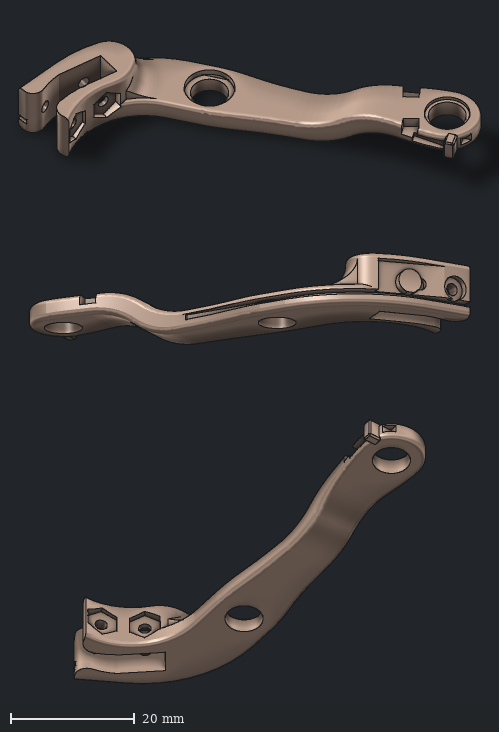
import cadquery as cq
import math


arm_thickness = 3.7
end_thickness = 3.55
end_top = 8.9
end_bottom = end_top - end_thickness
bend_run = 15.5
bend_start_top = 15.2
bend_start_bottom = 17.0
end_hole_x = 39.9
end_radius = 5.55
outer_waist = [(8.1, 4.6), (20.7, 3.9), (31.0, 4.5)]
inner_waist = [(31.8, -4.6), (19.95, -4.15), (8.1, -4.9)]
edge_round = 0.95

fork_height = 9.0
prong_overrun = 2.95
outer_arc_radius = 22.5
outer_arc_start_x = -4.65
outer_arc_angle = math.radians(60)
outer_tip_x = end_hole_x + end_radius - 73.9
inner_arc_radius = 12.55
inner_arc_start_x = -5.9
head_radius = 4.35
head_share = 0.65
neck_angle = 130
flare_radius = 4.3

hole_diameter = 6.1
pivot_recess_diameter = 8.2
pivot_recess_depth = 1.1
end_recess_diameter = 7.3
end_recess_depth = 0.6
screw_diameter = 2.0
screw_head_diameter = 4.0
screw_height = 4.6
nut_corner_diameter = 5.8
seat_clearance = 2.95
tip_screw_angle = math.radians(-26)
root_screw_angle = math.radians(-38)
tip_nut_floor = (-18.9, -14.7)
tip_screw_length = 10.35
tip_head_floor = (-26.15, -11.15)
root_nut_floor = (-15.45, -8.5)
root_screw_length = 7.4

pocket_bottom = 2.65
pocket_top = 7.9
boss_center = (-22.3, -4.0)
pocket_start = (-26.15, -9.1)
side_hole_center = (-23.2, -6.0)
side_hole_depth = 0.9

groove_bottom = 1.8
groove_width = 0.9
groove_depth = 1.9
groove_end_x = 14.8

notch_depth = 1.85
outer_notch = [(31.25, 5.9), (31.25, 4.4), (32.0, 1.6), (34.5, 2.3), (33.85, 5.9)]
inner_notch = [(33.7, -5.9), (33.4, -3.1), (35.8, -2.45), (36.35, -4.2), (36.35, -5.9)]
channel_bottom = 6.3
channel_height = 1.8
lug_x = 42.0
lug_width = 1.8

outer_arc_center = (outer_arc_start_x, end_radius - outer_arc_radius)
inner_arc_center = (inner_arc_start_x, -end_radius - inner_arc_radius)
inner_tip = (inner_arc_center[0] - inner_arc_radius, inner_arc_center[1])


def polar(center, radius, angle):
    return (center[0] + radius * math.cos(angle), center[1] + radius * math.sin(angle))


def outer_arc_point(share, inset=0.0):
    """Point on the fork's outer arc; share runs from 0 at the arm to 1 at the straight prong."""
    return polar(outer_arc_center, outer_arc_radius - inset, math.pi / 2 + share * outer_arc_angle)


def inner_arc_point(degrees):
    return polar(inner_arc_center, inner_arc_radius, math.radians(degrees))


def outer_tip_point(inset=0.0, overrun=0.0):
    """End of the straight outer prong, with an optional parallel inset and extra length."""
    end_x, end_y = outer_arc_point(1, inset)
    length = (outer_arc_point(1)[0] - outer_tip_x) / math.cos(outer_arc_angle) + overrun
    return (end_x - length * math.cos(outer_arc_angle), end_y - length * math.sin(outer_arc_angle))


head_center = outer_arc_point(head_share, head_radius)


def prong_ends(outline):
    """Close an outline that has reached the inner tip, running both prongs past their tips."""
    end_y = inner_tip[1] - prong_overrun
    return (
        outline.lineTo(inner_tip[0], end_y)
        .lineTo(outer_tip_point(overrun=prong_overrun)[0], end_y)
        .close()
    )


def arm_outline():
    outline = (
        cq.Workplane("XY")
        .moveTo(*outer_tip_point(overrun=prong_overrun))
        .lineTo(*outer_arc_point(1))
        .threePointArc(outer_arc_point(0.5), outer_arc_point(0))
        .lineTo(0, end_radius)
        .spline(
            [*outer_waist, (end_hole_x, end_radius)],
            tangents=[(1, 0), (1, 0)],
            includeCurrent=True,
        )
        .threePointArc((end_hole_x + end_radius, 0), (end_hole_x, -end_radius))
        .spline(
            [*inner_waist, (0, -end_radius)],
            tangents=[(-1, 0), (-1, 0)],
            includeCurrent=True,
        )
        .lineTo(inner_arc_start_x, -end_radius)
        .threePointArc(inner_arc_point(135), inner_tip)
    )
    return prong_ends(outline)


def fork_outline():
    head_end_x = head_center[0] + head_radius
    neck_cosine = math.cos(math.radians(neck_angle))
    shoulder_radius = (head_end_x - inner_arc_point(neck_angle)[0]) / (1 + neck_cosine)
    shoulder_center = polar(
        inner_arc_center, inner_arc_radius + shoulder_radius, math.radians(neck_angle)
    )
    outline = (
        cq.Workplane("XY")
        .moveTo(*outer_tip_point(overrun=prong_overrun))
        .lineTo(*outer_arc_point(1))
        .threePointArc(outer_arc_point((1 + head_share) / 2), outer_arc_point(head_share))
        .threePointArc(
            polar(head_center, head_radius, math.radians(55)),
            (head_end_x, head_center[1]),
        )
        .lineTo(head_end_x, shoulder_center[1])
        .threePointArc(
            polar(shoulder_center, shoulder_radius, math.radians((neck_angle - 180) / 2)),
            inner_arc_point(neck_angle),
        )
        .threePointArc(inner_arc_point(155), inner_tip)
    )
    return prong_ends(outline)


def fork_mouth():
    """Slot between the prongs together with everything beyond their tips."""
    margin = 7.4
    return (
        cq.Workplane("XY", origin=(0, 0, -0.75))
        .moveTo(*inner_tip)
        .lineTo(-19.7, -17.65)
        .threePointArc((-21.1, -16.1), (-21.0, -14.5))
        .threePointArc((-19.5, -11.8), (-17.6, -9.45))
        .lineTo(-14.05, -5.5)
        .lineTo(-17.5, -2.8)
        .lineTo(-22.75, -8.7)
        .threePointArc((-23.65, -10.5), (-24.3, -12.7))
        .threePointArc((-25.4, -14.0), (-26.9, -14.05))
        .lineTo(*outer_tip_point())
        .lineTo(outer_tip_x - margin, outer_tip_point()[1])
        .lineTo(outer_tip_x - margin, inner_tip[1] - margin)
        .lineTo(inner_tip[0] + margin, inner_tip[1] - margin)
        .lineTo(inner_tip[0] + margin, inner_tip[1])
        .close()
        .extrude(fork_height + 1.5)
    )


def arm_profile():
    """Side shape of the arm: flat, S-bend of two equal arcs, flat."""
    low_x = outer_tip_x - 0.75
    high_x = end_hole_x + end_radius + 0.75
    top_end = bend_start_top + bend_run
    bottom_end = bend_start_bottom + bend_run
    return (
        cq.Workplane("XZ")
        .moveTo(low_x, arm_thickness)
        .lineTo(bend_start_top, arm_thickness)
        .tangentArcPoint((bend_start_top + bend_run / 2, (arm_thickness + end_top) / 2), relative=False)
        .tangentArcPoint((top_end, end_top), relative=False)
        .lineTo(high_x, end_top)
        .lineTo(high_x, end_bottom)
        .lineTo(bottom_end, end_bottom)
        .tangentArcPoint((bend_start_bottom + bend_run / 2, end_bottom / 2), relative=False)
        .tangentArcPoint((bend_start_bottom, 0), relative=False)
        .lineTo(low_x, 0)
        .close()
        .extrude(36.95, both=True)
    )


def arm():
    blank = arm_outline().extrude(2 * fork_height).intersect(arm_profile())
    return blank.edges("not(|X or |Y or |Z)").fillet(edge_round)


def fork():
    blank = fork_outline().extrude(fork_height)
    return blank.edges("not(|X or |Y or |Z)").fillet(edge_round)


def flare():
    """Concave sweep from the head of the fork down to the upper face of the arm."""
    overlap = 0.75
    base_z = arm_thickness - overlap
    top_z = arm_thickness + flare_radius
    foot = head_radius + flare_radius
    sweep_mid = polar((foot, top_z), flare_radius, math.radians(225))
    sweep = (
        cq.Workplane("XZ")
        .moveTo(0, base_z)
        .lineTo(foot, base_z)
        .lineTo(foot, arm_thickness)
        .threePointArc(sweep_mid, (head_radius, top_z))
        .lineTo(0, top_z)
        .close()
        .revolve(360, (0, 0, 0), (0, 1, 0))
        .translate((head_center[0], head_center[1], 0))
    )
    return arm_outline().offset2D(-edge_round).extrude(fork_height).intersect(sweep)


def stepped_hole(x, recess_diameter, recess_depth, face_z):
    through = cq.Workplane("XY", origin=(x, 0, -0.75)).circle(hole_diameter / 2).extrude(fork_height + 1.5)
    recess = (
        cq.Workplane("XY", origin=(x, 0, face_z - recess_depth))
        .circle(recess_diameter / 2)
        .extrude(recess_depth + 0.75)
    )
    return through.union(recess)


def axis_plane(point, angle):
    """Plane at screw height whose normal points from the outer prong to the inner one."""
    direction = cq.Vector(math.cos(angle), math.sin(angle), 0)
    return cq.Plane(origin=(point[0], point[1], screw_height), xDir=(0, 0, 1), normal=direction)


def nut_seat(point, angle, screw_length):
    """Hexagonal seat sunk into the inner prong, with its screw hole running back to the outer prong."""
    seat = cq.Workplane(axis_plane(point, angle)).polygon(6, nut_corner_diameter).extrude(seat_clearance)
    hole = cq.Workplane(axis_plane(point, angle)).circle(screw_diameter / 2).extrude(-screw_length)
    return seat.union(hole)


def screw_head_seat(point, angle):
    return (
        cq.Workplane(axis_plane(point, angle))
        .circle(screw_head_diameter / 2)
        .extrude(-seat_clearance)
    )


def cable_groove():
    floor_y = end_radius - groove_depth
    outside = -1.5
    return (
        cq.Workplane("XY", origin=(0, 0, groove_bottom))
        .moveTo(*outer_tip_point(groove_depth, prong_overrun))
        .lineTo(*outer_arc_point(1, groove_depth))
        .threePointArc(outer_arc_point(0.5, groove_depth), outer_arc_point(0, groove_depth))
        .lineTo(groove_end_x, floor_y)
        .lineTo(groove_end_x, end_radius - outside)
        .lineTo(*outer_arc_point(0, outside))
        .threePointArc(outer_arc_point(0.5, outside), outer_arc_point(1, outside))
        .lineTo(*outer_tip_point(outside, prong_overrun))
        .close()
        .extrude(groove_width)
    )


def prong_pocket():
    """Pocket in the outer side of the fork, leaving a round boss standing in it."""
    pocket = (
        cq.Workplane("XY", origin=(0, 0, pocket_bottom))
        .polyline([pocket_start, (-17.95, -0.45), (-19.15, 0.4), (-26.6, 4.4), (-31.0, -6.3)])
        .close()
        .extrude(pocket_top - pocket_bottom)
    )
    boss = (
        cq.Workplane(axis_plane(boss_center, root_screw_angle))
        .circle(screw_head_diameter / 2)
        .extrude(seat_clearance, both=True)
    )
    side_hole = (
        cq.Workplane(axis_plane(side_hole_center, root_screw_angle))
        .circle(screw_diameter / 2)
        .extrude(side_hole_depth, both=True)
    )
    return pocket.union(side_hole).cut(boss)


def notch(corners):
    return (
        cq.Workplane("XY", origin=(0, 0, end_top - notch_depth))
        .polyline(corners)
        .close()
        .extrude(notch_depth + 0.75)
    )


def side_channel():
    """Shallow channel along the inner side, from the inner notch to the lug."""
    return (
        cq.Workplane("XY", origin=(0, 0, channel_bottom))
        .polyline([(35.5, -6.65), (35.5, -3.9), (lug_x, -5.1), (lug_x, -6.65)])
        .close()
        .extrude(channel_height)
    )


def end_window():
    """Small rectangular pocket in the rim of the raised end, sunk along Y."""
    floor_y = -2.65
    return (
        cq.Workplane("XZ", origin=(0, floor_y, 0))
        .center(44.05, 7.3)
        .rect(1.4, 1.3)
        .extrude(end_radius)
    )


def lug():
    length = 2.2
    tip_y = -6.6
    return (
        cq.Workplane("XY")
        .box(lug_width, length, end_thickness, centered=(True, False, False))
        .edges("|Y")
        .chamfer(0.3)
        .faces("<Y")
        .chamfer(0.2)
        .translate((lug_x, tip_y, end_bottom))
    )


body = arm().union(fork()).union(flare()).cut(fork_mouth())
body = body.cut(stepped_hole(0, pivot_recess_diameter, pivot_recess_depth, arm_thickness))
body = body.cut(stepped_hole(end_hole_x, end_recess_diameter, end_recess_depth, end_top))
body = body.cut(nut_seat(tip_nut_floor, tip_screw_angle, tip_screw_length))
body = body.cut(screw_head_seat(tip_head_floor, tip_screw_angle))
body = body.cut(nut_seat(root_nut_floor, root_screw_angle, root_screw_length))
body = body.cut(cable_groove()).cut(prong_pocket())
body = body.cut(notch(outer_notch))
body = body.cut(notch(inner_notch))
body = body.cut(side_channel()).cut(end_window())
result = body.union(lug())